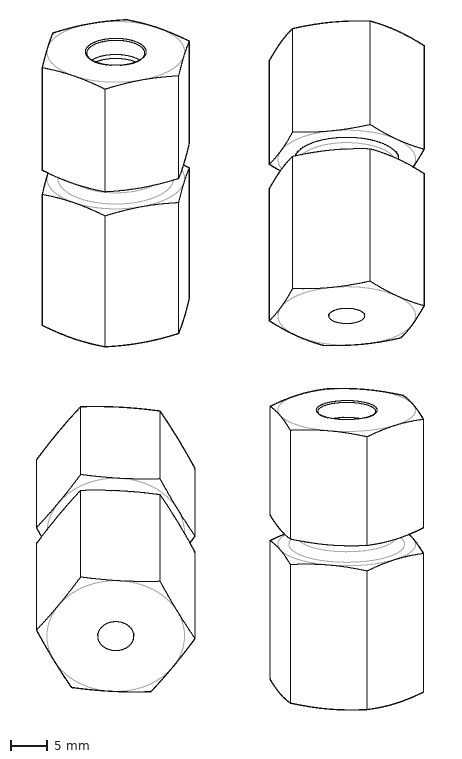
import cadquery as cq
import math

total_height = 40.5
body_hex_height = 20.98
nut_height = 16.6
nut_bottom = total_height - nut_height

across_flats = 19.05
across_corners = across_flats / math.cos(math.pi / 6)
corner_bevel_angle = math.radians(15)

tube_diameter = 8.0
flow_diameter = 5.0
mouth_chamfer = 0.2

neck_diameter = 13.7
neck_foot_diameter = 16.0
spigot_diameter = 14.38
neck_radius = (neck_foot_diameter - neck_diameter) / 2
neck_straight_top = 23.25
spigot_top = 34.42
tube_seat = 28.35

collar_depth = 2.4
collar_bottom = total_height - collar_depth
ferrule_diameter = 12.0
ferrule_gap = 0.6
ferrule_top = collar_bottom - ferrule_gap


def cylinder(diameter, bottom, top):
    return cq.Workplane("XY").workplane(offset=bottom).circle(diameter / 2).extrude(top - bottom)


def hexagon(bottom, top):
    """Hexagonal prism whose corners are bevelled by a cone at both ends."""
    prism = (
        cq.Workplane("XY")
        .workplane(offset=bottom)
        .transformed(rotate=(0, 0, 30))
        .polygon(6, across_corners)
        .extrude(top - bottom)
    )
    flat_radius = across_flats / 2
    corner_radius = across_corners / 2
    bevel_drop = (corner_radius - flat_radius) * math.tan(corner_bevel_angle)
    envelope = (
        cq.Workplane("XZ")
        .moveTo(0, bottom)
        .lineTo(flat_radius, bottom)
        .lineTo(corner_radius, bottom + bevel_drop)
        .lineTo(corner_radius, top - bevel_drop)
        .lineTo(flat_radius, top)
        .lineTo(0, top)
        .close()
        .revolve(360, (0, 0, 0), (0, 1, 0))
    )
    return prism.intersect(envelope)


def make_neck():
    """Turned neck with a concave radius at each end, topped by the spigot that enters the nut."""
    neck_r = neck_diameter / 2
    spigot_r = spigot_diameter / 2
    arc_center_r = neck_r + neck_radius
    foot_mid = neck_radius * math.sqrt(0.5)
    upper_sweep = math.acos((arc_center_r - spigot_r) / neck_radius)
    upper_rise = neck_radius * math.sin(upper_sweep)
    upper_mid = (
        arc_center_r - neck_radius * math.cos(upper_sweep / 2),
        neck_straight_top + neck_radius * math.sin(upper_sweep / 2),
    )
    foot_top = body_hex_height + neck_radius
    return (
        cq.Workplane("XZ")
        .moveTo(0, body_hex_height)
        .lineTo(neck_foot_diameter / 2, body_hex_height)
        .threePointArc((arc_center_r - foot_mid, foot_top - foot_mid), (neck_r, foot_top))
        .lineTo(neck_r, neck_straight_top)
        .threePointArc(upper_mid, (spigot_r, neck_straight_top + upper_rise))
        .lineTo(spigot_r, spigot_top)
        .lineTo(0, spigot_top)
        .close()
        .revolve(360, (0, 0, 0), (0, 1, 0))
    )


def make_body():
    """Hexagonal body with neck, flow bore and a stepped tube socket."""
    solid = hexagon(0, body_hex_height).union(make_neck())
    solid = solid.cut(cylinder(flow_diameter, 0, spigot_top))
    return solid.cut(cylinder(tube_diameter, tube_seat, spigot_top))


def make_nut():
    """Union nut whose collar closes over the ferrule and spigot."""
    solid = hexagon(nut_bottom, total_height)
    solid = solid.cut(cylinder(tube_diameter, nut_bottom, total_height))
    solid = solid.faces(">Z").edges(cq.selectors.RadiusNthSelector(0)).chamfer(mouth_chamfer)
    solid = solid.cut(cylinder(spigot_diameter, nut_bottom, spigot_top))
    return solid.cut(cylinder(ferrule_diameter, spigot_top, collar_bottom))


def make_ferrule():
    """Plain sealing ring seated on the spigot, a small gap below the collar."""
    ring = cylinder(ferrule_diameter, spigot_top, ferrule_top)
    return ring.cut(cylinder(tube_diameter, spigot_top, ferrule_top))


body = make_body()
nut = make_nut()
ferrule = make_ferrule()

result = cq.Compound.makeCompound([body.val(), nut.val(), ferrule.val()])